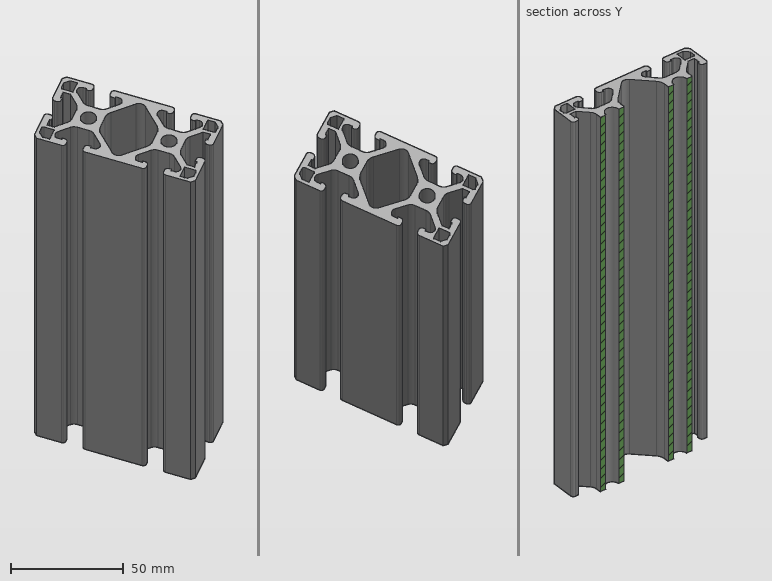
import cadquery as cq
import math

length = 203.2
width = length * 3 / 8
cell = width / 2
half_cell = cell / 2
outer_chamfer = 1.6

slot_half_opening = 4.0
lip_tip_thickness = 4.0
lip_root_thickness = 3.3
lip_tip_length = 2.8
lip_radius = 1.52
face_slot_half_width = 10.5
face_slot_radius = 2.0
end_slot_half_width = 10.2

core_half_width = 6.7
core_radius = 4.0
strut_offset = 2.2
bore_diameter = 7.1

hollow_strut_offset = 1.73
hollow_side_radius = 5.0
hollow_tip_radius = 3.3

pocket_near = 11.8
pocket_far = 17.5
pocket_chamfer = 2.2
pocket_side_radius = 0.8


def prism(points):
    """Full-length upright prism over the outline points."""
    return cq.Workplane("XY").polyline(points).close().extrude(length)


def upright_edges(body, corners):
    """Upright edges of body that pass through the (x, y) corners."""
    reach = 0.02

    def stands_at_corner(edge):
        middle = edge.Center()
        return any(math.hypot(middle.x - x, middle.y - y) < reach for x, y in corners)

    return body.edges("|Z").filter(stands_at_corner)


def round_edges(body, corners, radius):
    """Fillet the upright edges of body at the (x, y) corners."""
    return upright_edges(body, corners).fillet(radius)


def both_sides(points):
    """The points and their mirror images in X."""
    return points + [(-x, y) for x, y in reversed(points)]


def cell_half():
    """Upper half of the +X cell, with the middle of the cell at the origin.

    The outer corner is still without its pocket. On the inner side the material between
    the core and the middle plane of the part is left solid for the large hollow.
    """
    lip_tip = half_cell - lip_tip_thickness
    lip_root = half_cell - lip_root_thickness
    tip_end = slot_half_opening + lip_tip_length
    core_corner = core_half_width - strut_offset

    lip_corners = [(slot_half_opening, half_cell), (slot_half_opening, lip_tip)]
    lip_step = [(tip_end, lip_tip), (tip_end, lip_root)]
    slot_wall = [
        (face_slot_half_width, lip_root),
        (face_slot_half_width, face_slot_half_width + strut_offset),
    ]
    core_edge = [(core_corner, core_half_width)]
    face_slot = both_sides([(-x, y) for x, y in lip_corners + lip_step + slot_wall + core_edge])

    end_lip = [(y, x) for x, y in lip_corners]
    end_step = [(y, x) for x, y in lip_step]
    end_wall = [
        (lip_root, end_slot_half_width),
        (end_slot_half_width + strut_offset, end_slot_half_width),
    ]
    end_core = [(core_half_width, core_corner)]
    outer_corner = [(half_cell, half_cell)]

    outline = [(-half_cell, 0), (-half_cell, half_cell)] + face_slot + outer_corner
    outline += end_lip + end_step + end_wall + end_core + [(core_half_width, 0)]
    body = prism(outline)
    body = round_edges(body, both_sides(lip_corners) + end_lip, lip_radius)
    body = round_edges(body, both_sides(slot_wall), face_slot_radius)
    body = round_edges(body, both_sides(core_edge) + end_core, core_radius)
    return upright_edges(body, outer_corner).chamfer(outer_chamfer)


def corner_pocket():
    """Square hollow behind the outer corner, chamfered toward that corner."""
    body = prism(
        [
            (pocket_near, pocket_near),
            (pocket_far, pocket_near),
            (pocket_far, pocket_far),
            (pocket_near, pocket_far),
        ]
    )
    body = upright_edges(body, [(pocket_far, pocket_far)]).chamfer(pocket_chamfer)
    return round_edges(body, [(pocket_far, pocket_near)], pocket_side_radius)


def center_hollow():
    """Six-sided hollow between the cores, centred on the origin."""
    side = half_cell - core_half_width
    side_corner = core_half_width - hollow_strut_offset
    tip = half_cell - hollow_strut_offset
    top_tip = (0, tip)
    bottom_tip = (0, -tip)
    right_corners = [(side, side_corner), (side, -side_corner)]
    left_corners = [(-side, -side_corner), (-side, side_corner)]
    body = prism([top_tip] + right_corners + [bottom_tip] + left_corners)
    body = round_edges(body, right_corners + left_corners, hollow_side_radius)
    return round_edges(body, [top_tip, bottom_tip], hollow_tip_radius)


quarter = cell_half().cut(corner_pocket()).translate((half_cell, 0, 0))
half = quarter.union(quarter.mirror("XZ"))
profile = half.union(half.mirror("YZ"))

bores = cq.Workplane("XY").pushPoints([(-half_cell, 0), (half_cell, 0)]).circle(bore_diameter / 2)
result = profile.cut(center_hollow()).cut(bores.extrude(length))